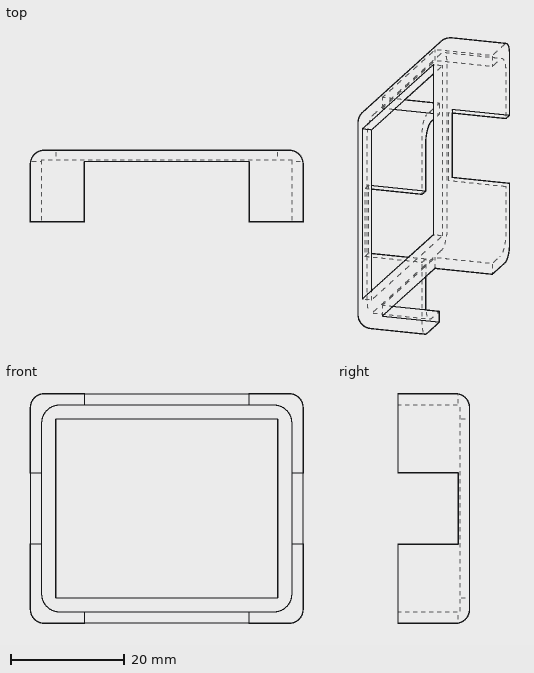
import cadquery as cq

width = 48.2
depth = 12.7
height = 40.6
wall = 2.02
edge_radius = 2.5
cavity_radius = 3.2

rim_depth = 2.02
floor_thickness = 1.75
lip_width = 2.5
wide_gap = 29.1
tall_gap = 12.6

cavity_width = width - 2 * wall
cavity_height = height - 2 * wall
window_width = cavity_width - 2 * lip_width
window_height = cavity_height - 2 * lip_width


def block(x_size, z_size, y_start, y_end):
    """Box centred in X and Z, spanning y_start to y_end."""
    return cq.Workplane("XY").box(x_size, y_end - y_start, z_size).translate((0, (y_start + y_end) / 2, 0))


body = block(width, height, 0, depth).edges("|Y").fillet(edge_radius)
body = body.faces(">Y").edges().fillet(edge_radius)

cavity = block(cavity_width, cavity_height, 0, depth - floor_thickness).edges("|Y").fillet(cavity_radius)
window = block(window_width, window_height, 0, depth)

gap_end = depth - rim_depth
wide_cut = block(wide_gap, height, 0, gap_end)
tall_cut = block(width, tall_gap, 0, gap_end)

result = body.cut(cavity).cut(window).cut(wide_cut).cut(tall_cut)